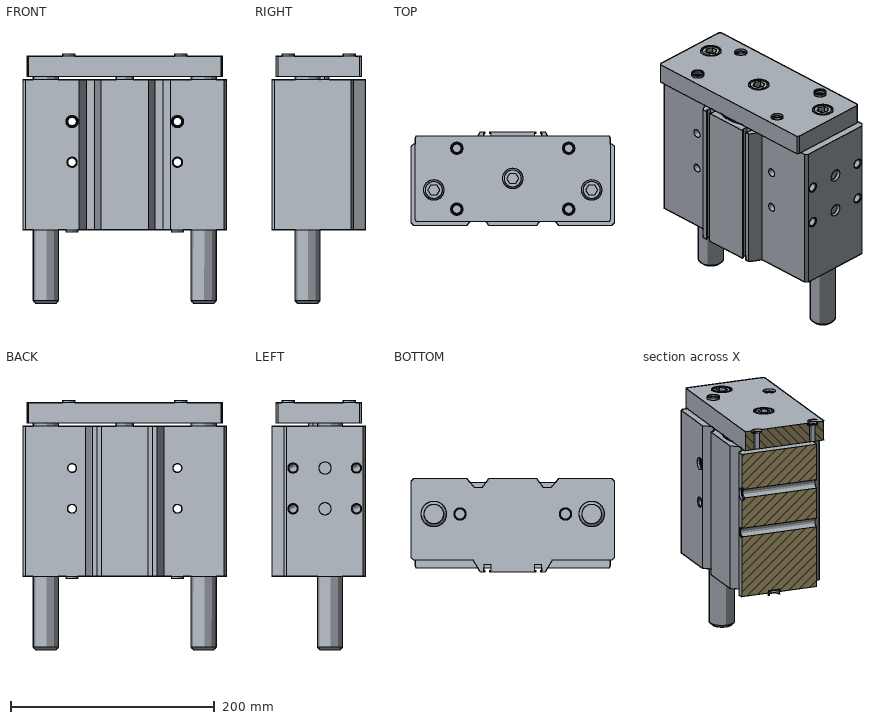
import cadquery as cq
import math


OVERALL_HEIGHT = 245.3

HOUSING_WIDTH = 200.0
HOUSING_DEPTH = 92.0
HOUSING_HEIGHT = 147.7
FRONT_Y = -HOUSING_DEPTH / 2
RIB_BACK_Y = HOUSING_DEPTH / 2
FLANK_BACK_Y = 34.3
EDGE_CHAMFER = 2.7

GROOVE_FLOOR_Y = FRONT_Y + 8.8
GROOVE_INNER_FRONT_X = 23.5
GROOVE_INNER_FLOOR_X = 30.0
GROOVE_OUTER_FLOOR_X = 37.8
GROOVE_OUTER_FRONT_X = 45.1

RIB_TOP_HALF_WIDTH = 31.6
RIB_FOOT_HALF_WIDTH = 38.8
RIB_CHAMFER = 1.0
SLOT_X = 25.0
SLOT_MOUTH_WIDTH = 4.5
SLOT_WIDTH = 6.9
SLOT_LIP = 1.5
SLOT_DEPTH = 7.4

RING_INNER_DIAMETER = 80.0
RING_OUTER_DIAMETER = 82.0
RING_DEPTH = 2.0

CORE_DIAMETER = 8.3
THREAD_DIAMETER = 10.0
SLEEVE_SEAT_DIAMETER = 12.0
SLEEVE_SEAT_DEPTH = 2.5
FRONT_HOLE_X = 51.8
UPPER_HOLE_Z = 106.5
LOWER_HOLE_Z = UPPER_HOLE_Z - 40.0
SIDE_HOLE_YS = (25.3, -37.0)
SIDE_HOLE_DEPTH = 19.5
DRILL_POINT_ANGLE = 118
PORT_Y = -6.1
PORT_DIAMETER = 12.0
PORT_DEPTH = 3.7

GUIDE_ROD_X = 77.5
GUIDE_ROD_Y = -11.0
GUIDE_ROD_DIAMETER = 25.0
GUIDE_ROD_TIP_Z = -72.4
GUIDE_ROD_CHAMFER = 3.0
PISTON_Y = 0.2
PISTON_ROD_DIAMETER = 20.0
PISTON_ROD_FLATS = 17.0

PLATE_GAP = 3.0
PLATE_WIDTH = 191.8
PLATE_DEPTH = 84.4
PLATE_THICKNESS = 20.0
PLATE_CHAMFER_X = 1.2
PLATE_CHAMFER_Y = 2.0
PLATE_BOTTOM_Z = HOUSING_HEIGHT + PLATE_GAP
PLATE_TOP_Z = PLATE_BOTTOM_Z + PLATE_THICKNESS
PLATE_HOLE_X = 55.0
PLATE_HOLE_Y = 30.0

SCREW_HEAD_DIAMETER = 20.0
SCREW_FACE_DIAMETER = 16.7
SOCKET_FLATS = 10.0
SOCKET_DEPTH = 5.0
SCREW_POINTS = [(0, PISTON_Y), (-GUIDE_ROD_X, GUIDE_ROD_Y), (GUIDE_ROD_X, GUIDE_ROD_Y)]

SLEEVE_BORE_DIAMETER = 10.0
SLEEVE_PROUD = OVERALL_HEIGHT + GUIDE_ROD_TIP_Z - PLATE_TOP_Z


def cylinder(diameter, height, x, y, z):
    return cq.Workplane("XY", origin=(x, y, z)).circle(diameter / 2).extrude(height)


def block(x_size, y_size, z_size, x, y, z):
    """Box centred on x and y, standing on z."""
    return cq.Workplane("XY", origin=(x, y, z)).rect(x_size, y_size).extrude(z_size)


def housing_outline():
    side = HOUSING_WIDTH / 2
    right_half = [
        (GROOVE_INNER_FRONT_X, FRONT_Y),
        (GROOVE_INNER_FLOOR_X, GROOVE_FLOOR_Y),
        (GROOVE_OUTER_FLOOR_X, GROOVE_FLOOR_Y),
        (GROOVE_OUTER_FRONT_X, FRONT_Y),
        (side - EDGE_CHAMFER, FRONT_Y),
        (side, FRONT_Y + EDGE_CHAMFER),
        (side, FLANK_BACK_Y - EDGE_CHAMFER),
        (side - EDGE_CHAMFER, FLANK_BACK_Y),
        (RIB_FOOT_HALF_WIDTH, FLANK_BACK_Y),
        (RIB_TOP_HALF_WIDTH + RIB_CHAMFER, RIB_BACK_Y - RIB_CHAMFER),
        (RIB_TOP_HALF_WIDTH, RIB_BACK_Y),
    ]
    return right_half + [(-x, y) for x, y in reversed(right_half)]


def t_slot(x):
    mouth = block(SLOT_MOUTH_WIDTH, 2 * SLOT_LIP, HOUSING_HEIGHT, x, RIB_BACK_Y, 0)
    channel_y = RIB_BACK_Y - (SLOT_LIP + SLOT_DEPTH) / 2
    channel = block(SLOT_WIDTH, SLOT_DEPTH - SLOT_LIP, HOUSING_HEIGHT, x, channel_y, 0)
    return mouth.union(channel)


def cover_ring_groove():
    start = cq.Workplane("XY", origin=(0, PISTON_Y, HOUSING_HEIGHT))
    return start.circle(RING_OUTER_DIAMETER / 2).circle(RING_INNER_DIAMETER / 2).extrude(-RING_DEPTH)


def tapped_hole(seat_depth, depth):
    """Hole along +Z from the origin: sleeve seat if any, thread chamfer, then the core."""
    thread = THREAD_DIAMETER / 2
    core = CORE_DIAMETER / 2
    section = [
        (0, 0),
        (0, seat_depth),
        (thread, seat_depth),
        (core, seat_depth + thread - core),
        (core, depth),
        (0, depth),
    ]
    if seat_depth == 0:
        section = section[1:]
    hole = cq.Workplane("XZ").polyline(section).close().revolve(360, (0, 0), (0, 1))
    if seat_depth > 0:
        hole = hole.union(cylinder(SLEEVE_SEAT_DIAMETER, seat_depth, 0, 0, 0))
    return hole


def front_hole(x, z, seat_depth):
    """Hole right through the housing, starting at its front face."""
    hole = tapped_hole(seat_depth, HOUSING_DEPTH).rotate((0, 0, 0), (1, 0, 0), -90)
    return hole.translate((x, FRONT_Y, z))


def plate_hole(x, y):
    hole = tapped_hole(SLEEVE_SEAT_DEPTH, PLATE_THICKNESS).rotate((0, 0, 0), (1, 0, 0), 180)
    return hole.translate((x, y, PLATE_TOP_Z))


def side_hole(y, z):
    """Blind tapped hole in the left side, with a chamfered mouth and a drill point."""
    core = CORE_DIAMETER / 2
    mouth = THREAD_DIAMETER / 2
    point = core / math.tan(math.radians(DRILL_POINT_ANGLE / 2))
    section = [
        (0, 0),
        (0, mouth),
        (mouth - core, core),
        (SIDE_HOLE_DEPTH, core),
        (SIDE_HOLE_DEPTH + point, 0),
    ]
    start = cq.Workplane("XY", origin=(-HOUSING_WIDTH / 2, y, z))
    return start.polyline(section).close().revolve(360, (0, 0), (1, 0))


def port(z):
    start = cq.Workplane("YZ", origin=(-HOUSING_WIDTH / 2, PORT_Y, z))
    return start.circle(PORT_DIAMETER / 2).extrude(PORT_DEPTH)


def make_housing():
    housing = cq.Workplane("XY").polyline(housing_outline()).close().extrude(HOUSING_HEIGHT)
    housing = housing.cut(cover_ring_groove())
    for side in (-1, 1):
        housing = housing.cut(t_slot(side * SLOT_X))
        hole_x = side * FRONT_HOLE_X
        housing = housing.cut(front_hole(hole_x, UPPER_HOLE_Z, SLEEVE_SEAT_DEPTH))
        housing = housing.cut(front_hole(hole_x, LOWER_HOLE_Z, 0))
        housing = housing.cut(cylinder(SLEEVE_SEAT_DIAMETER, SLEEVE_SEAT_DEPTH, hole_x, GUIDE_ROD_Y, 0))
        rod_x = side * GUIDE_ROD_X
        housing = housing.cut(cylinder(GUIDE_ROD_DIAMETER, HOUSING_HEIGHT, rod_x, GUIDE_ROD_Y, 0))
    for z in (UPPER_HOLE_Z, LOWER_HOLE_Z):
        housing = housing.cut(port(z))
        for y in SIDE_HOLE_YS:
            housing = housing.cut(side_hole(y, z))
    return housing


def screw_head_cut(x, y):
    """Material removed from the plate top: the V-groove along the head rim and the socket."""
    rim = SCREW_HEAD_DIAMETER / 2
    face = SCREW_FACE_DIAMETER / 2
    section = [(face, 0), (rim, 0), (rim, face - rim)]
    groove = cq.Workplane("XZ").polyline(section).close().revolve(360, (0, 0), (0, 1))
    socket_corners = SOCKET_FLATS / math.cos(math.pi / 6)
    socket = cq.Workplane("XY").polygon(6, socket_corners).extrude(-SOCKET_DEPTH)
    return groove.union(socket).translate((x, y, PLATE_TOP_Z))


def piston_rod():
    """Visible length of the piston rod, with two wrench flats facing -X and +X."""
    rod = cylinder(PISTON_ROD_DIAMETER, PLATE_GAP, 0, PISTON_Y, HOUSING_HEIGHT)
    flats = block(PISTON_ROD_FLATS, PISTON_ROD_DIAMETER, PLATE_GAP, 0, PISTON_Y, HOUSING_HEIGHT)
    return rod.intersect(flats)


def plate_outline():
    side = PLATE_WIDTH / 2
    back = PLATE_DEPTH / 2
    right_half = [
        (side - PLATE_CHAMFER_X, -back),
        (side, PLATE_CHAMFER_Y - back),
        (side, back - PLATE_CHAMFER_Y),
        (side - PLATE_CHAMFER_X, back),
    ]
    return right_half + [(-x, y) for x, y in reversed(right_half)]


def make_yoke_plate():
    plate = cq.Workplane("XY", origin=(0, 0, PLATE_BOTTOM_Z)).polyline(plate_outline()).close()
    plate = plate.extrude(PLATE_THICKNESS)
    for x in (-PLATE_HOLE_X, PLATE_HOLE_X):
        for y in (-PLATE_HOLE_Y, PLATE_HOLE_Y):
            plate = plate.cut(plate_hole(x, y))
    for x, y in SCREW_POINTS:
        plate = plate.cut(screw_head_cut(x, y))
    return plate.union(piston_rod())


def make_guide_rod(x):
    length = PLATE_BOTTOM_Z - GUIDE_ROD_TIP_Z
    rod = cylinder(GUIDE_ROD_DIAMETER, length, x, GUIDE_ROD_Y, GUIDE_ROD_TIP_Z)
    return rod.faces("<Z").chamfer(GUIDE_ROD_CHAMFER)


def make_sleeve(x, y, z):
    """Centring sleeve with its lower end at z."""
    length = SLEEVE_SEAT_DEPTH + SLEEVE_PROUD
    sleeve = cylinder(SLEEVE_SEAT_DIAMETER, length, x, y, z)
    return sleeve.cut(cylinder(SLEEVE_BORE_DIAMETER, length, x, y, z))


housing = make_housing()
yoke_plate = make_yoke_plate()
guide_rods = [make_guide_rod(side * GUIDE_ROD_X) for side in (-1, 1)]

sleeves = []
for side in (-1, 1):
    sleeves.append(make_sleeve(side * PLATE_HOLE_X, side * PLATE_HOLE_Y, PLATE_TOP_Z - SLEEVE_SEAT_DEPTH))
    sleeves.append(make_sleeve(side * FRONT_HOLE_X, GUIDE_ROD_Y, -SLEEVE_PROUD))

result = cq.Compound.makeCompound(
    [body.val() for body in [housing, yoke_plate, *guide_rods, *sleeves]]
)